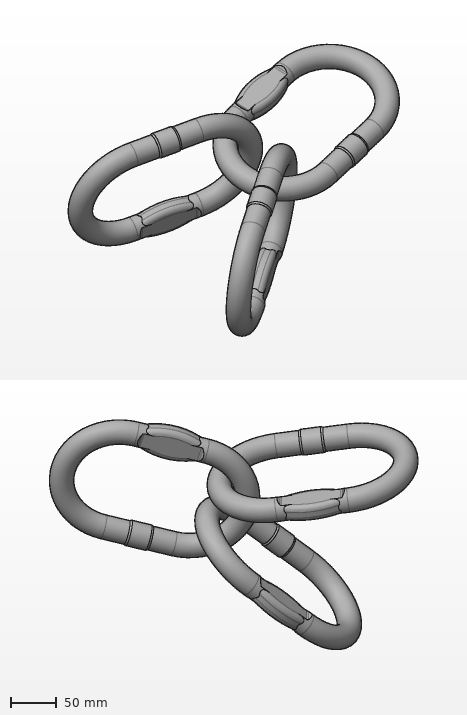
import cadquery as cq
import math

wire_diameter = 27.0
bend_radius = 63.5
leg_length = 80.0

collar_diameter = 29.0
collar_length = 27.0
collar_taper = 2.5

lock_length = 62.5
lock_middle_width = 37.7
lock_end_width = 25.0
lock_thickness = 20.0
lock_edge_radius = 6.5
flat_length = 67.8
flat_blend_radius = 2.7

spread_angle = 25.0
side_link_x = 68.0
overall_length = 385.0

wire_radius = wire_diameter / 2
half_leg = leg_length / 2
bend_reach = half_leg + bend_radius
master_top_y = bend_reach + wire_radius
side_link_y = master_top_y - overall_length + bend_reach * math.cos(math.radians(spread_angle)) + wire_radius


def make_wire_loop():
    """Round wire bent into a stadium in the XY plane."""
    path = (
        cq.Workplane("XY")
        .moveTo(bend_radius, 0)
        .lineTo(bend_radius, half_leg)
        .threePointArc((0, bend_reach), (-bend_radius, half_leg))
        .lineTo(-bend_radius, -half_leg)
        .threePointArc((0, -bend_reach), (bend_radius, -half_leg))
        .close()
    )
    return cq.Workplane("XZ").center(bend_radius, 0).circle(wire_radius).sweep(path)


def make_collar():
    """Weld collar with a cone at each end, turned about the +X leg."""
    half_length = collar_length / 2
    half_band = half_length - collar_taper
    collar_radius = collar_diameter / 2
    return (
        cq.Workplane("XY")
        .polyline([
            (0, -half_length),
            (wire_radius, -half_length),
            (collar_radius, -half_band),
            (collar_radius, half_band),
            (wire_radius, half_length),
            (0, half_length),
        ])
        .close()
        .revolve(360, (0, 0, 0), (0, 1, 0))
        .translate((bend_radius, 0, 0))
    )


def make_lock():
    """Barrel-shaped block on the -X leg, its curved sides rounded into the flat faces."""
    half_length = lock_length / 2
    half_end = lock_end_width / 2
    half_middle = lock_middle_width / 2
    block = (
        cq.Workplane("XY")
        .moveTo(-half_end, -half_length)
        .lineTo(half_end, -half_length)
        .threePointArc((half_middle, 0), (half_end, half_length))
        .lineTo(-half_end, half_length)
        .threePointArc((-half_middle, 0), (-half_end, -half_length))
        .close()
        .extrude(lock_thickness / 2, both=True)
    )
    curved_edges = block.faces("|Z").edges("%CIRCLE")
    return curved_edges.fillet(lock_edge_radius).translate((-bend_radius, 0, 0))


def make_flat_cutter():
    """Bar that planes the wire down to the upper flat face of the lock, with 45 degree ends."""
    floor_z = lock_thickness / 2
    half_floor = flat_length / 2
    half_top = half_floor + wire_radius - floor_z
    bar = (
        cq.Workplane("YZ")
        .polyline([
            (-half_floor, floor_z),
            (half_floor, floor_z),
            (half_top, wire_radius),
            (-half_top, wire_radius),
        ])
        .close()
        .extrude(wire_radius, both=True)
    )
    floor_end_edges = bar.faces("<Z").edges("|X")
    return floor_end_edges.fillet(flat_blend_radius).translate((-bend_radius, 0, 0))


def make_link():
    """One complete link, centred on the origin and lying in the XY plane."""
    upper_cutter = make_flat_cutter()
    lower_cutter = upper_cutter.mirror("XY")
    wire = make_wire_loop().cut(upper_cutter).cut(lower_cutter)
    return wire.union(make_collar()).union(make_lock())


master_link = make_link()

side_links = []
for side in (-1, 1):
    upright_link = make_link().rotate((0, 0, 0), (0, 1, 0), -90)
    swung_link = upright_link.rotate((0, 0, 0), (0, 0, 1), side * spread_angle)
    side_links.append(swung_link.translate((side * side_link_x, side_link_y, 0)))

result = cq.Compound.makeCompound([
    master_link.val(),
    *[link.val() for link in side_links],
])